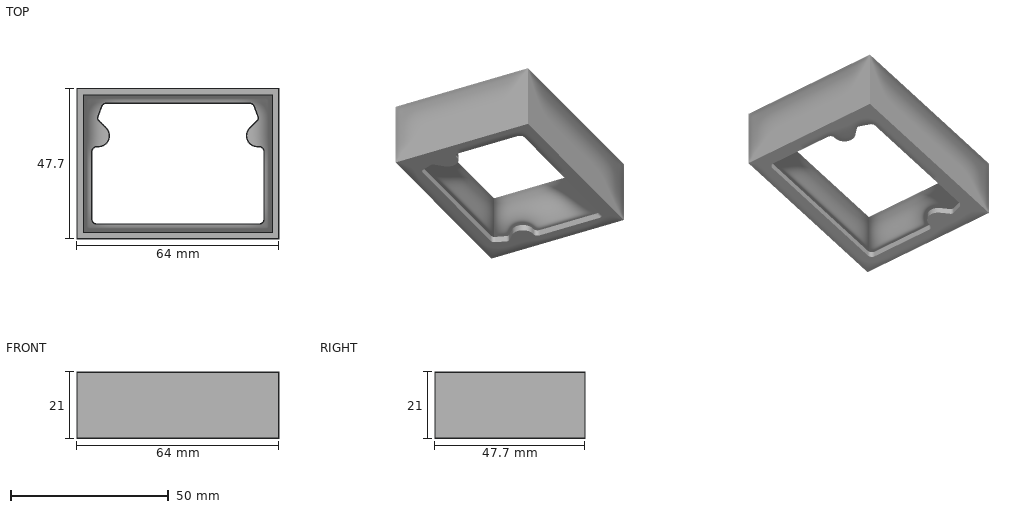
import cadquery as cq
import math

LENGTH = 64.05
WIDTH = 47.7
HEIGHT = 21.0
WALL = 2.0
FLOOR = 2.0

WINDOW_MARGIN = 4.75
WINDOW_CORNER_RADIUS = 1.5

LUG_RADIUS = 3.5
LUG_INSET = 6.8
LUG_DROP = 15.0

BACK_CORNER_INSET = 8.2
BACK_SIDE_LEAN = 20.0
BACK_CORNER_RADIUS = 1.5
NOTCH_RADIUS = 1.0


def window_corners():
    """Sharp corners (x, y, rounding radius) of the +X half, from front to back."""
    side_x = LENGTH / 2 - WINDOW_MARGIN
    end_y = WIDTH / 2 - WINDOW_MARGIN
    lug_x = LENGTH / 2 - LUG_INSET
    lug_y = WIDTH / 2 - LUG_DROP
    lug_front_y = lug_y - LUG_RADIUS
    back_x = LENGTH / 2 - BACK_CORNER_INSET

    tip_x = lug_x - LUG_RADIUS * (1 + math.sqrt(2))

    lean = math.tan(math.radians(BACK_SIDE_LEAN))
    notch_rise = (back_x - tip_x + lean * (end_y - lug_front_y)) / (1 + lean)

    return [
        (side_x, -end_y, WINDOW_CORNER_RADIUS),
        (side_x, lug_front_y, WINDOW_CORNER_RADIUS),
        (tip_x, lug_front_y, LUG_RADIUS),
        (tip_x + notch_rise, lug_front_y + notch_rise, NOTCH_RADIUS),
        (back_x, end_y, BACK_CORNER_RADIUS),
    ]


def make_box():
    """Box with vertical walls, a floor and an open top."""
    outer = cq.Workplane("XY").box(LENGTH, WIDTH, HEIGHT, centered=(True, True, False))
    cavity = (
        cq.Workplane("XY")
        .workplane(offset=FLOOR)
        .rect(LENGTH - 2 * WALL, WIDTH - 2 * WALL)
        .extrude(HEIGHT - FLOOR)
    )
    return outer.cut(cavity)


def make_window():
    """Prism of the floor window, with every upright edge rounded."""
    right = window_corners()
    left = [(-x, y, radius) for x, y, radius in reversed(right)]
    corners = right + left

    outline = [(x, y) for x, y, _ in corners]
    window = cq.Workplane("XY").polyline(outline).close().extrude(FLOOR)
    for x, y, radius in corners:
        corner_edge = cq.NearestToPointSelector((x, y, FLOOR / 2))
        window = window.edges("|Z").edges(corner_edge).fillet(radius)
    return window


result = make_box().cut(make_window())